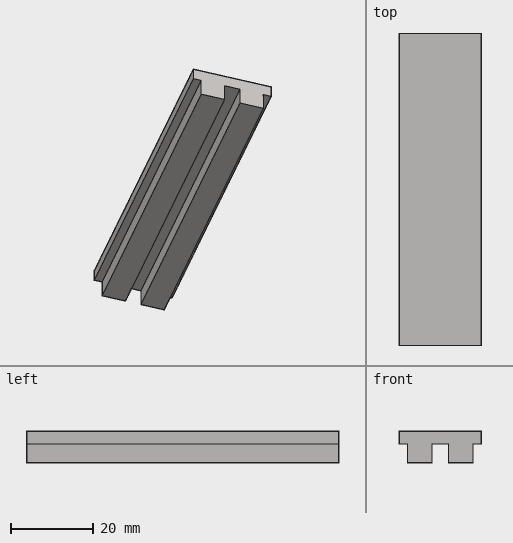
import cadquery as cq

length = 76.0
plate_width = 20.0
total_height = 7.75
plate_thickness = 3.2

rail_width = 6.0
slot_width = 3.95
rail_height = total_height - plate_thickness
rail_offset = (slot_width + rail_width) / 2

plate = cq.Workplane("XY").box(
    plate_width, length, plate_thickness, centered=(True, True, False)
)

rails = (
    cq.Workplane("XY")
    .pushPoints([(-rail_offset, 0), (rail_offset, 0)])
    .rect(rail_width, length)
    .extrude(-rail_height)
)

result = plate.union(rails)